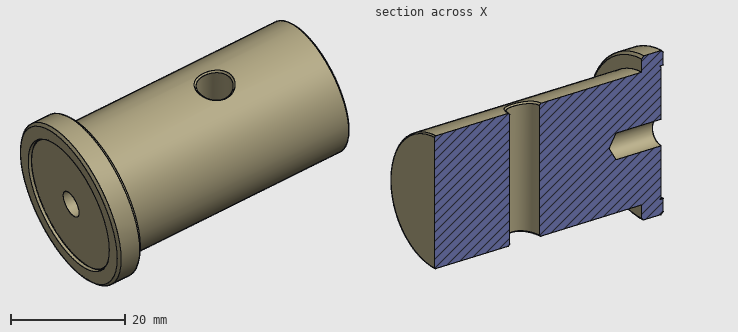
import cadquery as cq
import math

total_length = 50.8
pin_diameter = 25.5
pin_chamfer = 0.25
pin_recess = 0.5

head_diameter = 31.5
head_thickness = 4.9
head_chamfer = 0.5

cross_hole_diameter = 6.5
cross_hole_chamfer = 0.35
cross_hole_from_tip = 20.0

center_hole_diameter = 5.0
center_hole_depth = 10.0
drill_point_angle = 118.0

head_face_y = -total_length / 2
pin_end_y = head_face_y + pin_recess
tip_y = total_length / 2
cross_hole_y = tip_y - cross_hole_from_tip


def revolve_about_y(profile):
    """Turn a closed XY profile a full revolution around the Y axis."""
    return profile.close().revolve(360, (0, 0, 0), (0, 1, 0))


def make_pin():
    """Plain pin from inside the head to the tip, chamfered at both ends."""
    radius = pin_diameter / 2
    return revolve_about_y(
        cq.Workplane("XY")
        .moveTo(0, pin_end_y)
        .lineTo(radius - pin_chamfer, pin_end_y)
        .lineTo(radius, pin_end_y + pin_chamfer)
        .lineTo(radius, tip_y - pin_chamfer)
        .lineTo(radius - pin_chamfer, tip_y)
        .lineTo(0, tip_y)
    )


def make_head():
    """Collar around the pin; it stands slightly proud of the pin's end."""
    inner = pin_diameter / 2
    outer = head_diameter / 2
    head_back_y = head_face_y + head_thickness
    return revolve_about_y(
        cq.Workplane("XY")
        .moveTo(inner, head_face_y)
        .lineTo(outer - head_chamfer, head_face_y)
        .lineTo(outer, head_face_y + head_chamfer)
        .lineTo(outer, head_back_y - head_chamfer)
        .lineTo(outer - head_chamfer, head_back_y)
        .lineTo(inner, head_back_y)
    )


def cut_cross_hole(body):
    """Through hole along Z, with both saddle-shaped mouth edges chamfered."""
    drill = (
        cq.Workplane("XY")
        .center(0, cross_hole_y)
        .circle(cross_hole_diameter / 2)
        .extrude(pin_diameter, both=True)
    )
    mouth_half_size = cross_hole_diameter
    mouth_region = cq.selectors.BoxSelector(
        (-mouth_half_size, cross_hole_y - mouth_half_size, -pin_diameter),
        (mouth_half_size, cross_hole_y + mouth_half_size, pin_diameter),
    )
    return body.cut(drill).edges(mouth_region).edges("not(|Z or |Y)").chamfer(cross_hole_chamfer)


def make_center_hole():
    """Blind hole on the pin axis with a conical drill point."""
    radius = center_hole_diameter / 2
    shoulder_y = pin_end_y + center_hole_depth
    point_length = radius / math.tan(math.radians(drill_point_angle / 2))
    return revolve_about_y(
        cq.Workplane("XY")
        .moveTo(0, pin_end_y)
        .lineTo(radius, pin_end_y)
        .lineTo(radius, shoulder_y)
        .lineTo(0, shoulder_y + point_length)
    )


result = cut_cross_hole(make_pin()).union(make_head()).cut(make_center_hole())